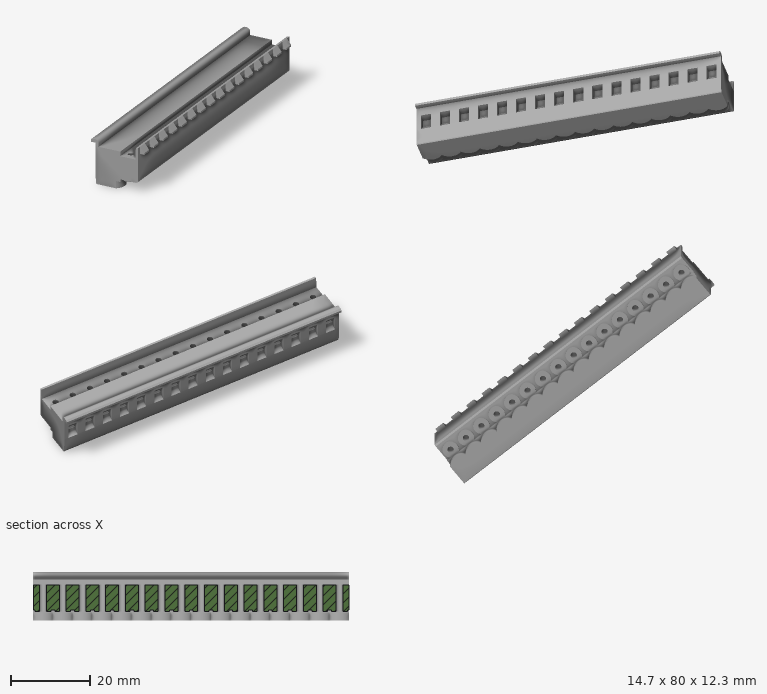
import cadquery as cq

length = 80.0
width = 14.7
height = 12.3
pole_count = 16
pitch = length / pole_count

front_x = 1.3
wall_kink_z = 4.7
bevel_x = 1.4
bevel_z = 0.7
toe_x = 1.5
toe_z = 0.2
underside_x = 1.7
foot_x = 8.5
rear_x = 13.5
rear_underside_z = 2.7
rear_bevel_x = 0.5
rear_bevel_z = 0.2
rear_floor_z = 9.1
deck_z = 10.4
rear_wall_base_x = 12.8
rear_wall_top_x = 13.0

lip_underside_z = 11.4
lip_bevel_x = 0.5
lip_bevel_z = 0.3
lip_back_x = 2.2
lip_round = 1.0

scallop_depth = 1.2
scallop_top_z = 2.0

bore_x = 10.2
bore_diameter = 1.6
boss_radius = 2.1
boss_bottom_z = 2.2

entry_width = 2.6
entry_bottom_z = 4.6
entry_top_z = 9.0
entry_back_x = 3.4
entry_back_top_z = 8.8
ramp_end_x = 2.4
ramp_end_z = 5.2
shelf_front_x = 2.6
shelf_front_z = 6.2
shelf_back_z = 6.2
entry_root_round = 0.5

hook_width = 2.5
hook_bottom_z = 10.3
hook_nose_z = 10.8


def extrude_along_y(points, start_y, run):
    """Prism with an XZ outline that starts at start_y and runs toward +Y."""
    plane = cq.Workplane("XZ", origin=(0, start_y, 0))
    return plane.polyline(points).close().extrude(-run)


def make_housing():
    outline = (
        cq.Workplane("XZ")
        .moveTo(underside_x, 0)
        .lineTo(foot_x, 0)
        .lineTo(foot_x, rear_underside_z)
        .lineTo(rear_x - rear_bevel_x, rear_underside_z)
        .lineTo(rear_x, rear_underside_z + rear_bevel_z)
        .lineTo(rear_x, height)
        .lineTo(rear_wall_top_x, height)
        .lineTo(rear_wall_base_x, rear_floor_z)
        .lineTo(foot_x, rear_floor_z)
        .lineTo(foot_x, deck_z)
        .lineTo(lip_back_x, deck_z)
        .lineTo(lip_back_x, height - lip_round)
        .tangentArcPoint((lip_back_x - lip_round, height), relative=False)
        .lineTo(lip_bevel_x, height)
        .lineTo(0, height - lip_bevel_z)
        .lineTo(0, lip_underside_z)
        .lineTo(front_x, lip_underside_z)
        .lineTo(front_x, wall_kink_z)
        .lineTo(bevel_x, bevel_z)
        .lineTo(toe_x, toe_z)
        .close()
    )
    return outline.extrude(-length)


def make_scallop_cut(start_y):
    """Material behind one bulging arc of the foot, up to the scallop height."""
    valley_x = foot_x - scallop_depth
    end_y = start_y + pitch
    return (
        cq.Workplane("XY")
        .moveTo(valley_x, start_y)
        .threePointArc((foot_x, start_y + pitch / 2), (valley_x, end_y))
        .lineTo(rear_x, end_y)
        .lineTo(rear_x, start_y)
        .close()
        .extrude(scallop_top_z)
    )


def make_boss(center_y):
    boss = cq.Workplane("XY", origin=(bore_x, center_y, boss_bottom_z))
    return boss.circle(boss_radius).extrude(rear_floor_z - boss_bottom_z)


def make_bore(center_y):
    bore = cq.Workplane("XY", origin=(bore_x, center_y, 0))
    return bore.circle(bore_diameter / 2).extrude(height)


def make_entry(center_y):
    """Pocket with a ramped floor, a rounded root and a shelf in front of its back wall."""
    outline = [
        (0, entry_bottom_z),
        (front_x, entry_bottom_z),
        (ramp_end_x, ramp_end_z),
        (shelf_front_x, shelf_front_z),
        (entry_back_x, shelf_back_z),
        (entry_back_x, entry_back_top_z),
        (front_x, entry_top_z),
        (0, entry_top_z),
    ]
    entry = extrude_along_y(outline, center_y - entry_width / 2, entry_width)
    root = cq.selectors.NearestToPointSelector((ramp_end_x, center_y, ramp_end_z))
    return entry.edges("|Y").edges(root).fillet(entry_root_round)


def make_hook(center_y):
    outline = [
        (rear_x, height),
        (width, hook_nose_z),
        (width, hook_bottom_z),
        (rear_x, hook_bottom_z),
    ]
    return extrude_along_y(outline, center_y - hook_width / 2, hook_width)


result = make_housing()
for pole in range(pole_count):
    pole_start = pole * pitch
    pole_center = pole_start + pitch / 2
    result = (
        result.cut(make_scallop_cut(pole_start))
        .union(make_boss(pole_center))
        .union(make_hook(pole_center))
        .cut(make_bore(pole_center))
        .cut(make_entry(pole_center))
    )